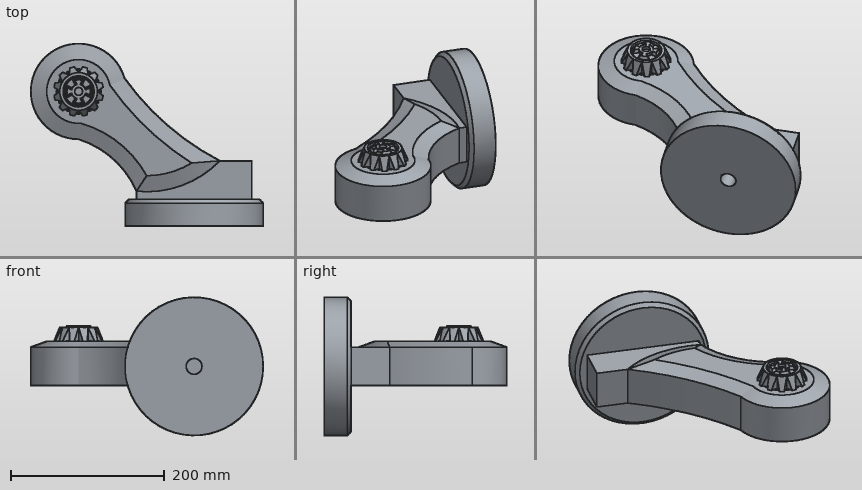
import cadquery as cq
import math

DISC_RADIUS = 180.0 / 2
DISC_THICKNESS = 35.0
DISC_CHAMFER = 5.0
BORE_RADIUS = 10.3
BORE_DEPTH = DISC_THICKNESS

BLOCK_WIDTH = 150.0
BLOCK_BACK = 85.0
BODY_HEIGHT = 50.2
SHOULDER_Z = BODY_HEIGHT / 2

TOTAL_LENGTH_X = 302.5
TOTAL_LENGTH_Y = 237.5
HEAD_RADIUS = 62.3
HEAD_X = DISC_RADIUS + HEAD_RADIUS - TOTAL_LENGTH_X
HEAD_Y = TOTAL_LENGTH_Y - HEAD_RADIUS
HEAD_BACK_ANGLE = math.radians(16)
BACK_ARC_RADIUS = 351.0
FRONT_ARC_RADIUS = 121.5
ROOT_ARC_RADIUS = 132.8
ROOT_FRONT_Y = 45.5
ROOT_BACK_X = 33.5
CAP_HEIGHT = 7.5
CAP_INSET = 21.0
CAP_TOP_Z = SHOULDER_Z + CAP_HEIGHT

TOOTH_COUNT = 12
GEAR_HEIGHT = 18.0
GEAR_BASE_RADIUS = 32.5
GEAR_TOP_RADIUS = 24.5
GAP_OPENING = 11.8
PAD_INNER_RADIUS = 27.2
PAD_OUTER_RADIUS = 29.3
PAD_WIDTH = 2.0
PAD_HEIGHT = 0.5

RECESS_TOP_RADIUS = 20.3
RECESS_FLOOR_RADIUS = 18.5
RECESS_DEPTH = 2.0
HUB_HEIGHT = 4.2
HUB_RADIUS = 9.5
HUB_HOLE_RADIUS = 5.0
HUB_HOLE_DEPTH = HUB_HEIGHT
SPOKE_COUNT = 4
SPOKE_INNER_RADIUS = 8.0
SPOKE_BASE_RADIUS = 17.2
SPOKE_TOP_RADIUS = 15.0
SPOKE_BASE_WIDTHS = (8.5, 15.7)
SPOKE_TOP_WIDTHS = (3.0, 9.7)


def make_disc():
    disc = cq.Workplane("XZ").circle(DISC_RADIUS).extrude(-DISC_THICKNESS)
    return disc.faces(">Y").chamfer(DISC_CHAMFER)


def make_block():
    depth = BLOCK_BACK - DISC_THICKNESS
    block = cq.Workplane("XY").box(BLOCK_WIDTH, depth, BODY_HEIGHT, centered=(True, False, True))
    return block.translate((0, DISC_THICKNESS, 0))


def arc_center(start, end, radius):
    """Centre of the arc of the given radius, on the left of the direction from start to end."""
    chord_x, chord_y = end[0] - start[0], end[1] - start[1]
    chord = math.hypot(chord_x, chord_y)
    rise = math.sqrt(radius**2 - (chord / 2) ** 2) / chord
    return (
        (start[0] + end[0]) / 2 - rise * chord_y,
        (start[1] + end[1]) / 2 + rise * chord_x,
    )


def circle_crossing(center_a, radius_a, center_b, radius_b):
    """Crossing point of two circles, on the left of the direction from center_a to center_b."""
    step_x, step_y = center_b[0] - center_a[0], center_b[1] - center_a[1]
    distance = math.hypot(step_x, step_y)
    along = (radius_a**2 - radius_b**2 + distance**2) / (2 * distance**2)
    across = math.sqrt((radius_a / distance) ** 2 - along**2)
    return (
        center_a[0] + along * step_x - across * step_y,
        center_a[1] + along * step_y + across * step_x,
    )


HEAD_CENTER = (HEAD_X, HEAD_Y)
HEAD_BACK = (
    HEAD_X + HEAD_RADIUS * math.cos(HEAD_BACK_ANGLE),
    HEAD_Y + HEAD_RADIUS * math.sin(HEAD_BACK_ANGLE),
)
HEAD_FRONT = (HEAD_X, HEAD_Y - HEAD_RADIUS)
ROOT_FRONT = (-BLOCK_WIDTH / 2, ROOT_FRONT_Y)
ROOT_BACK = (ROOT_BACK_X, BLOCK_BACK)
FRONT_CENTER = arc_center(ROOT_FRONT, HEAD_FRONT, FRONT_ARC_RADIUS)
ROOT_CENTER = arc_center(ROOT_FRONT, ROOT_BACK, ROOT_ARC_RADIUS)
BACK_CENTER = arc_center(HEAD_BACK, ROOT_BACK, BACK_ARC_RADIUS)


def draw_arm_outline(workplane, inset):
    """Round head, two hollow flanks and a round root, all moved inwards by the inset."""
    head_radius = HEAD_RADIUS - inset
    root_radius = ROOT_ARC_RADIUS - inset
    front_radius = FRONT_ARC_RADIUS + inset
    back_radius = BACK_ARC_RADIUS + inset
    head_back = circle_crossing(BACK_CENTER, back_radius, HEAD_CENTER, head_radius)
    head_front = circle_crossing(HEAD_CENTER, head_radius, FRONT_CENTER, front_radius)
    root_front = circle_crossing(ROOT_CENTER, root_radius, FRONT_CENTER, front_radius)
    root_back = circle_crossing(BACK_CENTER, back_radius, ROOT_CENTER, root_radius)
    return (
        workplane.moveTo(*head_back)
        .threePointArc((HEAD_X - head_radius, HEAD_Y), head_front)
        .radiusArc(root_front, front_radius)
        .radiusArc(root_back, -root_radius)
        .radiusArc(head_back, back_radius)
        .close()
    )


def make_arm():
    bottom = cq.Workplane("XY").workplane(offset=-SHOULDER_Z)
    body = draw_arm_outline(bottom, 0).extrude(BODY_HEIGHT)
    shoulder = cq.Workplane("XY").workplane(offset=SHOULDER_Z)
    cap_top = draw_arm_outline(shoulder, 0).workplane(offset=CAP_HEIGHT)
    cap = draw_arm_outline(cap_top, CAP_INSET).loft(ruled=True)
    return body.union(cap)


def make_gear_body():
    """Cone with vertical-walled V gaps and a small pad at the foot of each gap."""
    gear = cq.Workplane("XY").circle(GEAR_BASE_RADIUS).workplane(offset=GEAR_HEIGHT)
    gear = gear.circle(GEAR_TOP_RADIUS).loft(ruled=True)
    gap = (
        cq.Workplane("XY")
        .moveTo(GEAR_TOP_RADIUS, 0)
        .lineTo(GEAR_BASE_RADIUS, GAP_OPENING / 2)
        .lineTo(GEAR_BASE_RADIUS, -GAP_OPENING / 2)
        .close()
        .extrude(GEAR_HEIGHT)
    )
    pad_length = PAD_OUTER_RADIUS - PAD_INNER_RADIUS
    pad = cq.Workplane("XY").box(pad_length, PAD_WIDTH, PAD_HEIGHT, centered=(False, True, False))
    pad = pad.translate((PAD_INNER_RADIUS, 0, 0))
    for index in range(TOOTH_COUNT):
        angle = index * 360 / TOOTH_COUNT
        gear = gear.cut(gap.rotate((0, 0, 0), (0, 0, 1), angle))
        gear = gear.union(pad.rotate((0, 0, 0), (0, 0, 1), angle))
    return gear


def draw_spoke_section(workplane, radius, widths):
    """Keystone that widens away from the gear axis and ends in an arc around it."""
    inner_half, outer_half = (width / 2 for width in widths)
    corner_x = math.sqrt(radius**2 - outer_half**2)
    return (
        workplane.moveTo(SPOKE_INNER_RADIUS, -inner_half)
        .lineTo(corner_x, -outer_half)
        .threePointArc((radius, 0), (corner_x, outer_half))
        .lineTo(SPOKE_INNER_RADIUS, inner_half)
        .close()
    )


def make_hub():
    """Round hub with splayed spokes around it, standing on the recess floor."""
    hub = cq.Workplane("XY").circle(HUB_RADIUS).extrude(HUB_HEIGHT)
    spoke_base = draw_spoke_section(cq.Workplane("XY"), SPOKE_BASE_RADIUS, SPOKE_BASE_WIDTHS)
    spoke_top = spoke_base.workplane(offset=HUB_HEIGHT)
    spoke = draw_spoke_section(spoke_top, SPOKE_TOP_RADIUS, SPOKE_TOP_WIDTHS).loft(ruled=True)
    for index in range(SPOKE_COUNT):
        hub = hub.union(spoke.rotate((0, 0, 0), (0, 0, 1), index * 360 / SPOKE_COUNT))
    return hub


def make_gear():
    floor_z = GEAR_HEIGHT - RECESS_DEPTH
    recess = cq.Workplane("XY").workplane(offset=floor_z).circle(RECESS_FLOOR_RADIUS)
    recess = recess.workplane(offset=RECESS_DEPTH).circle(RECESS_TOP_RADIUS).loft(ruled=True)
    gear = make_gear_body().cut(recess)
    gear = gear.union(make_hub().translate((0, 0, floor_z)))
    hub_top = cq.Workplane("XY").workplane(offset=floor_z + HUB_HEIGHT)
    hole = hub_top.circle(HUB_HOLE_RADIUS).extrude(-HUB_HOLE_DEPTH)
    return gear.cut(hole).translate((HEAD_X, HEAD_Y, CAP_TOP_Z))


bore = cq.Workplane("XZ").circle(BORE_RADIUS).extrude(-BORE_DEPTH)
result = make_disc().union(make_block()).union(make_arm()).union(make_gear()).cut(bore)